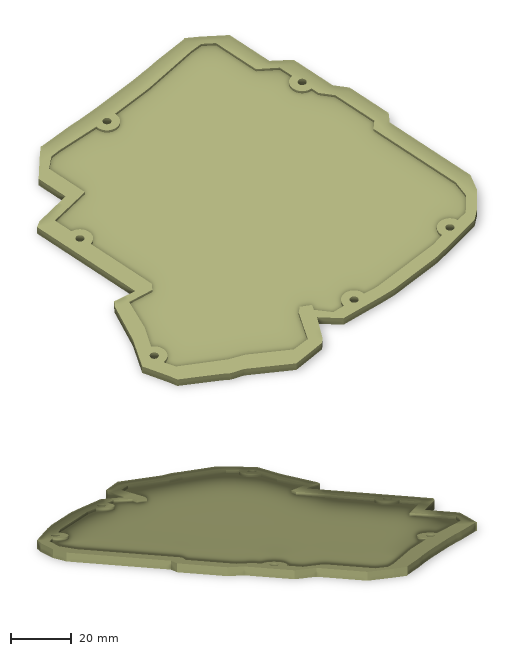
import cadquery as cq

thickness = 3.0
pocket_depth = 1.0

hole_diameter = 3.0
boss_wall = 2.8
boss_diameter = hole_diameter + 2 * boss_wall
screw_positions = [
    (8.0, 76.4),
    (42.4, 133.6),
    (124.5, 116.7),
    (124.5, 70.4),
    (94.3, 6.4),
    (39.0, 30.0),
]

outer_outline = [
    (0, 122.2), (3.3, 126.2), (10.0, 133.5), (27.7, 133.5), (33.3, 139.3), (50.8, 139.3),
    (55.6, 142.3), (73.1, 142.3), (76.4, 139.3), (112.7, 139.3), (118.7, 135.9), (125.3, 128.8), (127.9, 124.9),
    (130.2, 108.4), (130.7, 103.1), (130.7, 83.2), (130.2, 78.0), (127.9, 61.6),
    (121.2, 56.0), (129.5, 50.0), (130.6, 48.2), (131.0, 35.5), (120.2, 21.9), (118.4, 17.5),
    (116.5, 15.4), (107.5, 3.4), (103.9, 2.5), (94.9, 0), (84.1, 7.1), (69.0, 14.5), (67.3, 16.1), (69.1, 24.3),
    (25.0, 24.3), (23.8, 26.7), (22.0, 41.3), (10.0, 41.3), (3.4, 48.8), (0.9, 51.9), (0, 52.8),
    (0.3, 53.2), (0.5, 66.6), (0.9, 70.4), (1.1, 78.7), (1.1, 96.6), (0.9, 104.4), (0.5, 108.3), (0.3, 121.8),
]

pocket_outline = [
    (6.0, 124.0), (9.2, 127.6), (27.2, 127.6), (32.5, 133.5), (49.8, 133.5), (54.6, 136.5),
    (72.1, 136.5), (74.5, 133.5), (111.4, 133.5), (118.1, 131.3), (123.5, 125.3),
    (124.9, 112.7), (125.9, 107.1), (125.9, 79.8), (124.9, 74.4), (123.5, 61.5),
    (118.1, 57.9), (116.1, 59.2), (113.7, 55.8), (115.4, 53.5), (125.9, 46.5), (125.9, 39.8),
    (116.0, 27.2), (113.2, 21.6), (103.0, 7.5), (98.9, 6.3), (90.6, 8.8), (83.1, 14.0),
    (71.1, 19.2), (72.8, 28.6), (70.7, 30.6),
    (27.2, 30.6), (25.3, 47.1), (9.2, 47.1), (5.8, 51.9),
    (5.8, 55.8), (7.5, 76.8), (7.5, 97.2), (5.8, 119.4),
]


def prism(outline, height):
    return cq.Workplane("XY").polyline(outline).close().extrude(height)


def screw_cylinders(diameter, height):
    return cq.Workplane("XY").pushPoints(screw_positions).circle(diameter / 2).extrude(height)


floor_height = thickness - pocket_depth
pocket = prism(pocket_outline, pocket_depth).cut(screw_cylinders(boss_diameter, pocket_depth))
plate = prism(outer_outline, thickness).cut(pocket.translate((0, 0, floor_height)))
result = plate.cut(screw_cylinders(hole_diameter, thickness))